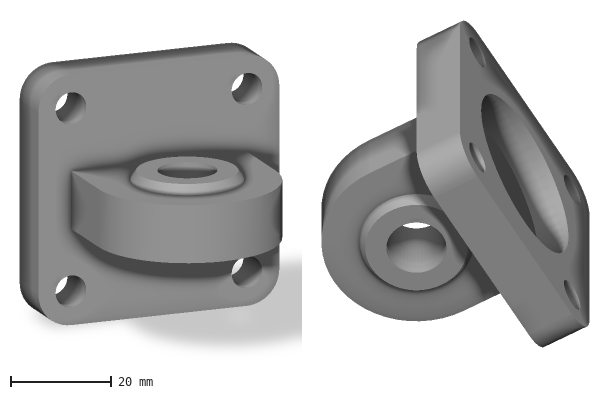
import cadquery as cq

plate_side = 52.0
plate_thickness = 10.0
corner_radius = 7.0
hole_spacing = 38.0
hole_diameter = 6.6
recess_diameter = 35.05
recess_depth = 7.0

overall_length = 44.0
lug_width = hole_spacing
lug_thickness = 12.0
lug_radius = lug_width / 2
eye_x = overall_length - lug_radius

ball_diameter = 26.0
ball_height = 16.0
bore_diameter = 12.0


def make_plate():
    plate = (
        cq.Workplane("YZ")
        .rect(plate_side, plate_side)
        .extrude(plate_thickness)
        .edges("|X")
        .fillet(corner_radius)
    )
    holes = (
        cq.Workplane("YZ")
        .rect(hole_spacing, hole_spacing, forConstruction=True)
        .vertices()
        .circle(hole_diameter / 2)
        .extrude(plate_thickness)
    )
    recess = cq.Workplane("YZ").circle(recess_diameter / 2).extrude(recess_depth)
    return plate.cut(holes).cut(recess)


def make_lug():
    return (
        cq.Workplane("XY")
        .workplane(offset=-lug_thickness / 2)
        .moveTo(plate_thickness, -lug_radius)
        .lineTo(eye_x, -lug_radius)
        .threePointArc((overall_length, 0), (eye_x, lug_radius))
        .lineTo(plate_thickness, lug_radius)
        .close()
        .extrude(lug_thickness)
    )


def make_ball():
    flat_block = cq.Workplane("XY").box(ball_diameter, ball_diameter, ball_height)
    ball = cq.Workplane("XY").sphere(ball_diameter / 2).intersect(flat_block)
    return ball.translate((eye_x, 0, 0))


def make_bore():
    return (
        cq.Workplane("XY")
        .center(eye_x, 0)
        .circle(bore_diameter / 2)
        .extrude(ball_height / 2, both=True)
    )


result = make_plate().union(make_lug()).union(make_ball()).cut(make_bore())